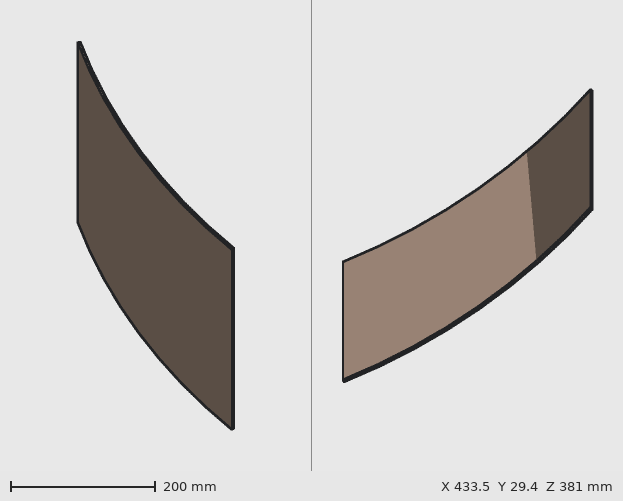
import cadquery as cq
import math

width = 433.5
height = 381.0
thickness = 4.0
outer_radius = 932.0

inner_radius = outer_radius - thickness
half_angle = math.asin(width / 2 / outer_radius)


def arc_point(radius, angle):
    """Point on an arc about the origin, with the angle measured from -Y toward +X."""
    return (radius * math.sin(angle), -radius * math.cos(angle))


result = (
    cq.Workplane("XY")
    .moveTo(*arc_point(outer_radius, -half_angle))
    .threePointArc(arc_point(outer_radius, 0), arc_point(outer_radius, half_angle))
    .lineTo(*arc_point(inner_radius, half_angle))
    .threePointArc(arc_point(inner_radius, 0), arc_point(inner_radius, -half_angle))
    .close()
    .extrude(height)
)